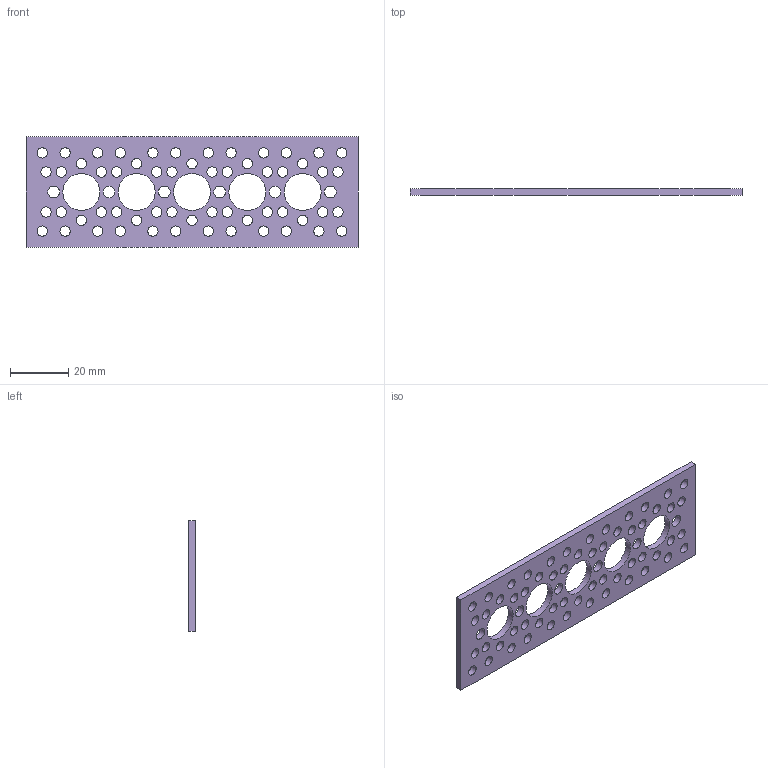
import math

import cadquery as cq

INCH = 25.4

pitch = 0.75 * INCH
cells = 6
length = cells * pitch
height = 2 * pitch
thickness = 0.09 * INCH

bore_diameter = 0.501 * INCH
screw_diameter = 0.14 * INCH
midline_diameter = 0.16 * INCH

inner_circle_radius = 0.77 * INCH / 2
outer_circle_radius = 1.5 * INCH / 2


def diagonal_points(center_x, radius):
    """The four 45-degree points of a bolt circle centred on the plate's long midline."""
    offset = radius * math.sqrt(0.5)
    return [(center_x + side * offset, level * offset) for side in (-1, 1) for level in (-1, 1)]


def make_plate():
    return cq.Workplane("XY").box(length, thickness, height)


def make_pins(points, diameter):
    """Cylinders along Y, running right through the plate."""
    back_face = cq.Workplane("XZ", origin=(0, thickness / 2, 0))
    return back_face.pushPoints(points).circle(diameter / 2).extrude(thickness)


pitch_points = [-length / 2 + i * pitch for i in range(cells + 1)]
bore_centers = pitch_points[1:-1]

bore_points = [(x, 0) for x in bore_centers]
screw_points = [(x, side * inner_circle_radius) for x in bore_centers for side in (1, -1)]

for x in pitch_points:
    pattern = diagonal_points(x, inner_circle_radius) + diagonal_points(x, outer_circle_radius)
    screw_points += [point for point in pattern if abs(point[0]) < length / 2]

midline_points = [(x + pitch / 2, 0) for x in pitch_points[:-1]]

result = (
    make_plate()
    .cut(make_pins(bore_points, bore_diameter))
    .cut(make_pins(screw_points, screw_diameter))
    .cut(make_pins(midline_points, midline_diameter))
)